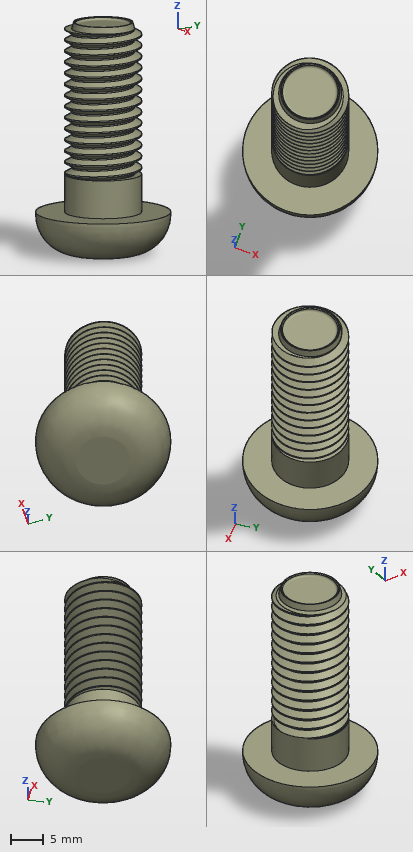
import cadquery as cq
import math

total_height = 36.52
head_diameter = 21.0
head_height = 6.57
head_band_height = 0.55
head_flat_radius = 4.2
head_bulge_radius = 8.65
head_bulge_height = 1.8

major_radius = 6.0
shank_length = 5.95
tip_height = 1.02
thread_bottom = head_height + shank_length
thread_top = total_height - tip_height

helix_height = 26.25
thread_turns = 15
pitch = helix_height / thread_turns
core_radius = 4.85
flank_angle = 30
flank_slope = math.tan(math.radians(flank_angle))
crest_half_width = pitch / 16
root_half_width = crest_half_width + flank_slope * (major_radius - core_radius)
ridge_embed = 0.2
thread_lead_in = 1.02
fuse_tolerance = 0.001

tip_base_radius = 4.9
tip_top_radius = 4.6
recess_mouth_radius = 4.5
recess_wall_radius = 4.3
recess_depth = 0.5
recess_fillet = 0.4


def make_head():
    """Domed head: narrow cylindrical band on top, rounded down to a flat face."""
    head_radius = head_diameter / 2
    return (
        cq.Workplane("XZ")
        .lineTo(head_flat_radius, 0)
        .threePointArc(
            (head_bulge_radius, head_bulge_height),
            (head_radius, head_height - head_band_height),
        )
        .lineTo(head_radius, head_height)
        .lineTo(0, head_height)
        .close()
        .revolve(360, (0, 0), (0, 1))
    )


def make_stem():
    """Plain shank, thread core and tapered tip, with the recess dished into the end."""
    recess_floor = total_height - recess_depth
    fillet_top = recess_floor + recess_fillet
    floor_radius = recess_wall_radius - recess_fillet
    fillet_offset = recess_fillet * math.sqrt(0.5)
    return (
        cq.Workplane("XZ")
        .moveTo(0, head_height)
        .lineTo(major_radius, head_height)
        .lineTo(major_radius, thread_bottom)
        .lineTo(core_radius, thread_bottom)
        .lineTo(core_radius, thread_top)
        .lineTo(tip_base_radius, thread_top)
        .lineTo(tip_top_radius, total_height)
        .lineTo(recess_mouth_radius, total_height)
        .lineTo(recess_wall_radius, fillet_top)
        .threePointArc(
            (floor_radius + fillet_offset, fillet_top - fillet_offset),
            (floor_radius, recess_floor),
        )
        .lineTo(0, recess_floor)
        .close()
        .revolve(360, (0, 0), (0, 1))
    )


def make_thread():
    """Right-handed helical ridge, trimmed flat at both ends of the threaded length."""
    helix_start = thread_bottom - thread_lead_in
    helix = cq.Wire.makeHelix(pitch, helix_height, core_radius)
    ridge = (
        cq.Workplane("XZ")
        .moveTo(core_radius - ridge_embed, -root_half_width)
        .lineTo(core_radius, -root_half_width)
        .lineTo(major_radius, -crest_half_width)
        .lineTo(major_radius, crest_half_width)
        .lineTo(core_radius, root_half_width)
        .lineTo(core_radius - ridge_embed, root_half_width)
        .close()
        .sweep(cq.Workplane(helix), isFrenet=True)
        .translate((0, 0, helix_start))
    )
    threaded_zone = (
        cq.Workplane("XY", origin=(0, 0, thread_bottom))
        .circle(head_diameter / 2)
        .extrude(thread_top - thread_bottom)
    )
    return ridge.intersect(threaded_zone)


body = make_head().union(make_stem())
result = body.union(make_thread(), clean=False, tol=fuse_tolerance)